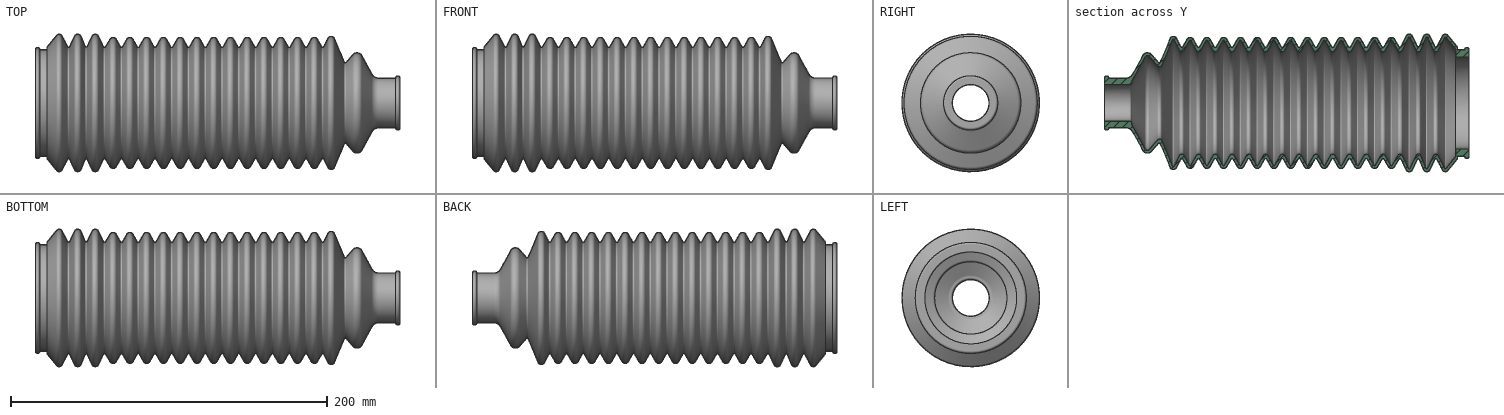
import cadquery as cq
import math


LENGTH = 230.5
WALL = 1.8
BEAD_ROUND = 1.4

COLLAR_RADIUS = 33.77
COLLAR_LENGTH = 7.1
COLLAR_BORE_RADIUS = 29.0
COLLAR_BORE_DEPTH = 8.5
COLLAR_ENTRY_ROUND = 0.5
SHOULDER_RADIUS = 35.15

LARGE_TIP_RADIUS = 87.1 / 2
REGULAR_TIP_RADIUS = 41.5
LAST_TIP_RADIUS = 42.2
SMALL_TIP_RADIUS = 31.8
FIRST_TIP_ROUND = 2.0
TIP_ROUND = 2.3
SMALL_TIP_ROUND = 3.5
LARGE_CRESTS = (15.0, 26.7, 37.8)
FIRST_REGULAR_CREST = 49.0
REGULAR_PITCH = 10.5
REGULAR_COUNT = 13
LAST_CREST = 187.0
SMALL_CREST = 203.3

LARGE_VALLEYS = (21.0, 32.0, 43.5)
VALLEY_RADIUS = 34.46
DEEP_VALLEY = (195.7, 25.0)
VALLEY_ROUND = 0.7
INNER_VALLEY_ROUND = 1.5

NECK_START = 214.2
NECK_RADIUS = 15.8
NECK_BORE_RADIUS = 11.5
NECK_ROOT_ROUND = 4.5
NECK_ENTRY_ROUND = 2.8

RADIAL = (0.0, 1.0)
AXIAL = (1.0, 0.0)


def fold_crests():
    """Return (position, tip radius, tip rounding) of every crest in order."""
    tip_rounds = (FIRST_TIP_ROUND, TIP_ROUND, TIP_ROUND)
    crests = [(x, LARGE_TIP_RADIUS, tip_round) for x, tip_round in zip(LARGE_CRESTS, tip_rounds)]
    for i in range(REGULAR_COUNT):
        crests.append((FIRST_REGULAR_CREST + i * REGULAR_PITCH, REGULAR_TIP_RADIUS, TIP_ROUND))
    crests.append((LAST_CREST, LAST_TIP_RADIUS, TIP_ROUND))
    crests.append((SMALL_CREST, SMALL_TIP_RADIUS, SMALL_TIP_ROUND))
    return crests


def fold_valleys():
    """Return the sharp outer valley corners, with the collar shoulder first and the neck root last."""
    valleys = [(COLLAR_LENGTH, SHOULDER_RADIUS)]
    valleys += [(x, VALLEY_RADIUS) for x in LARGE_VALLEYS]
    for i in range(REGULAR_COUNT):
        valleys.append((FIRST_REGULAR_CREST + (i + 0.5) * REGULAR_PITCH, VALLEY_RADIUS))
    valleys.append(DEEP_VALLEY)
    valleys.append((NECK_START, NECK_RADIUS))
    return valleys


def shifted(point, normal, distance):
    return point[0] + distance * normal[0], point[1] + distance * normal[1]


def bisector(first, second):
    """Unit vector halfway between two unit vectors."""
    total = (first[0] + second[0], first[1] + second[1])
    size = math.hypot(*total)
    return total[0] / size, total[1] / size


def corner_shift(first, second, distance):
    """How far a corner moves along its bisector when both sides move by the distance."""
    middle = bisector(first, second)
    return distance / (middle[0] * first[0] + middle[1] * first[1])


def add_round(profile, corner, first, second, size):
    """Draw to a corner between sides with two outward normals and round it.

    A positive size rounds a corner that points inward, a negative size one that points outward.
    """
    middle = bisector(first, second)
    center = shifted(corner, middle, corner_shift(first, second, size))
    return profile.lineTo(*shifted(center, first, -size)).threePointArc(
        shifted(center, middle, -size), shifted(center, second, -size)
    )


def flank_normal(valley, center, tip_round):
    """Outward unit normal of the flank from a valley corner tangent to a crest circle."""
    dx = valley[0] - center[0]
    dr = valley[1] - center[1]
    side = math.copysign(1.0, dx)
    angle = math.atan2(dr, dx) + side * math.acos(tip_round / math.hypot(dx, dr))
    return math.cos(angle), math.sin(angle)


def flank_position(valley, normal, radius):
    """Position along X where the inner side of a flank reaches a radius."""
    foot = shifted(valley, normal, -WALL)
    return foot[0] - (radius - foot[1]) * normal[1] / normal[0]


def flank_radius(valley, normal, x):
    """Radius of the inner side of a flank at a position along X."""
    foot = shifted(valley, normal, -WALL)
    return foot[1] - (x - foot[0]) * normal[0] / normal[1]


VALLEYS = fold_valleys()
CRESTS = [((x, tip - tip_round), tip_round) for x, tip, tip_round in fold_crests()]
LEFT_NORMALS = [flank_normal(VALLEYS[i], *crest) for i, crest in enumerate(CRESTS)]
RIGHT_NORMALS = [flank_normal(VALLEYS[i + 1], *crest) for i, crest in enumerate(CRESTS)]


def add_folds(profile, inset, valley_round):
    """Draw all crests and the valleys between them, moved inward by the inset."""
    for i, (center, tip_round) in enumerate(CRESTS):
        if i > 0:
            first, second = RIGHT_NORMALS[i - 1], LEFT_NORMALS[i]
            corner = shifted(VALLEYS[i], bisector(first, second), -corner_shift(first, second, inset))
            profile = add_round(profile, corner, first, second, valley_round)
        crest_round = tip_round - inset
        profile = profile.lineTo(*shifted(center, LEFT_NORMALS[i], crest_round)).threePointArc(
            shifted(center, RADIAL, crest_round), shifted(center, RIGHT_NORMALS[i], crest_round)
        )
    return profile


def outer_body():
    """Solid enclosed by the outer surface: beaded collar, folds and beaded neck."""
    profile = (
        cq.Workplane("XY")
        .lineTo(0, COLLAR_RADIUS)
        .threePointArc((BEAD_ROUND, COLLAR_RADIUS + BEAD_ROUND), (2 * BEAD_ROUND, COLLAR_RADIUS))
        .lineTo(COLLAR_LENGTH, COLLAR_RADIUS)
        .lineTo(COLLAR_LENGTH, SHOULDER_RADIUS)
    )
    profile = add_folds(profile, 0, VALLEY_ROUND)
    profile = add_round(profile, VALLEYS[-1], RIGHT_NORMALS[-1], RADIAL, NECK_ROOT_ROUND)
    profile = (
        profile.lineTo(LENGTH - 2 * BEAD_ROUND, NECK_RADIUS)
        .threePointArc((LENGTH - BEAD_ROUND, NECK_RADIUS + BEAD_ROUND), (LENGTH, NECK_RADIUS))
        .lineTo(LENGTH, 0)
        .close()
    )
    return profile.revolve(360, (0, 0, 0), (1, 0, 0))


def inner_cavity():
    """Hollow one wall inside the folds, with a plain bore through the collar and the neck."""
    cavity_start_radius = flank_radius(VALLEYS[0], LEFT_NORMALS[0], COLLAR_BORE_DEPTH)
    profile = (
        cq.Workplane("XY")
        .lineTo(0, COLLAR_BORE_RADIUS + COLLAR_ENTRY_ROUND)
        .radiusArc((COLLAR_ENTRY_ROUND, COLLAR_BORE_RADIUS), -COLLAR_ENTRY_ROUND)
        .lineTo(COLLAR_BORE_DEPTH, COLLAR_BORE_RADIUS)
        .lineTo(COLLAR_BORE_DEPTH, cavity_start_radius)
    )
    profile = add_folds(profile, WALL, INNER_VALLEY_ROUND)

    last_normal = RIGHT_NORMALS[-1]
    entry_radius = NECK_BORE_RADIUS + BEAD_ROUND
    half_angle = math.acos(last_normal[0]) / 2
    corner_radius = entry_radius + NECK_ENTRY_ROUND * math.tan(half_angle)
    entry_x = flank_position(VALLEYS[-1], last_normal, corner_radius)
    entry_corner = (entry_x, corner_radius)
    profile = add_round(profile, entry_corner, last_normal, AXIAL, -NECK_ENTRY_ROUND)
    profile = (
        profile.radiusArc((entry_x + BEAD_ROUND, NECK_BORE_RADIUS), -BEAD_ROUND)
        .lineTo(LENGTH, NECK_BORE_RADIUS)
        .lineTo(LENGTH, 0)
        .close()
    )
    return profile.revolve(360, (0, 0, 0), (1, 0, 0))


result = outer_body().cut(inner_cavity())